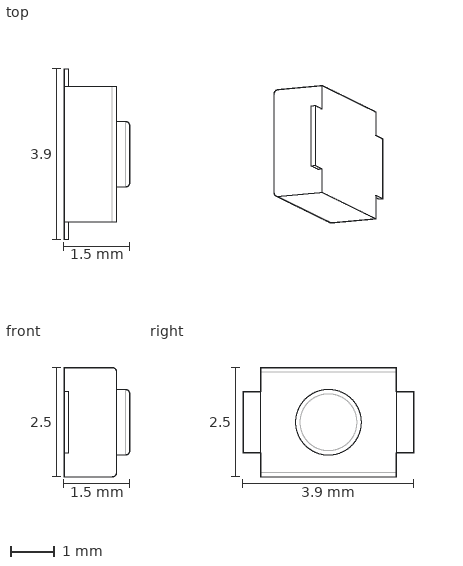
import cadquery as cq

overall_depth = 1.5
overall_length = 3.9

body_depth = 1.2
body_length = 3.1
body_height = 2.5
body_edge_radius = 0.1

terminal_thickness = 0.1
terminal_height = 1.4

button_diameter = 1.5
button_edge_radius = 0.1
button_height = overall_depth - body_depth


def block_on_mounting_face(depth, length, height):
    """Box centred in Y and Z whose back lies on the X = 0 mounting face."""
    return cq.Workplane("XY").box(depth, length, height, centered=(False, True, True))


def make_body():
    """Housing with its two long front edges rounded."""
    body = block_on_mounting_face(body_depth, body_length, body_height)
    return body.faces(">X").edges("|Y").fillet(body_edge_radius)


def make_terminals():
    """Strip running through the housing and out at both ends."""
    return block_on_mounting_face(terminal_thickness, overall_length, terminal_height)


def make_button():
    """Cylinder on the housing front with a rounded outer rim."""
    button = (
        cq.Workplane("YZ", origin=(body_depth, 0, 0))
        .circle(button_diameter / 2)
        .extrude(button_height)
    )
    return button.faces(">X").edges().fillet(button_edge_radius)


result = make_body().union(make_terminals()).union(make_button())